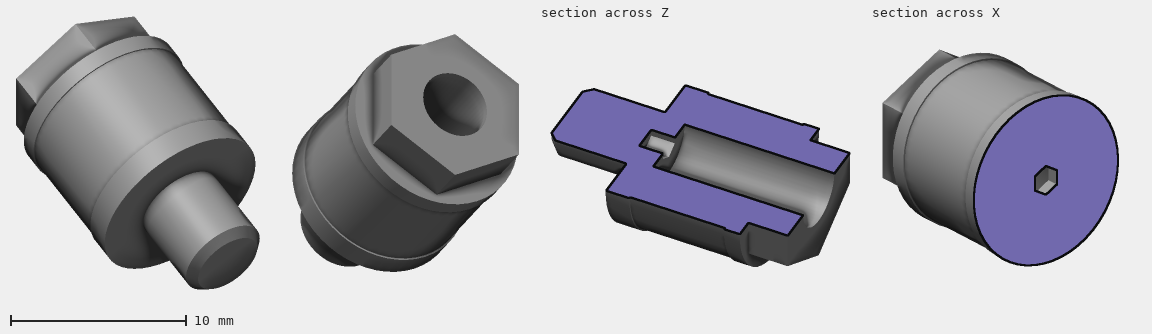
import cadquery as cq
import math

head_end = 2.5
front_flange_end = 3.5
body_end = 9.5
rear_flange_end = 11.0
total_length = 16.0

head_across_flats = 8.0
flange_diameter = 10.2
body_diameter = 10.0
stud_diameter = 5.0
stud_chamfer = 0.5

bore_diameter = 4.0
bore_depth = body_end
socket_across_flats = 1.5
socket_depth = 1.5


def section_plane(x):
    """Plane across the axis at x, with local X along +Y and normal along +X."""
    return cq.Workplane("YZ", origin=(x, 0, 0))


def cylinder(start, end, diameter):
    return section_plane(start).circle(diameter / 2).extrude(end - start)


def hexagon(start, end, across_flats):
    """Hexagonal prism along X with corners pointing up and down."""
    across_corners = across_flats / math.cos(math.pi / 6)
    profile = section_plane(start).transformed(rotate=(0, 0, 90)).polygon(6, across_corners)
    return profile.extrude(end - start)


head = hexagon(0, head_end, head_across_flats)
front_flange = cylinder(head_end, front_flange_end, flange_diameter)
body = cylinder(front_flange_end, body_end, body_diameter)
rear_flange = cylinder(body_end, rear_flange_end, flange_diameter)
stud = cylinder(rear_flange_end, total_length, stud_diameter).faces(">X").chamfer(stud_chamfer)
outer_shape = head.union(front_flange).union(body).union(rear_flange).union(stud)

bore = cylinder(0, bore_depth, bore_diameter)
socket = hexagon(bore_depth, bore_depth + socket_depth, socket_across_flats)

result = outer_shape.cut(bore).cut(socket)